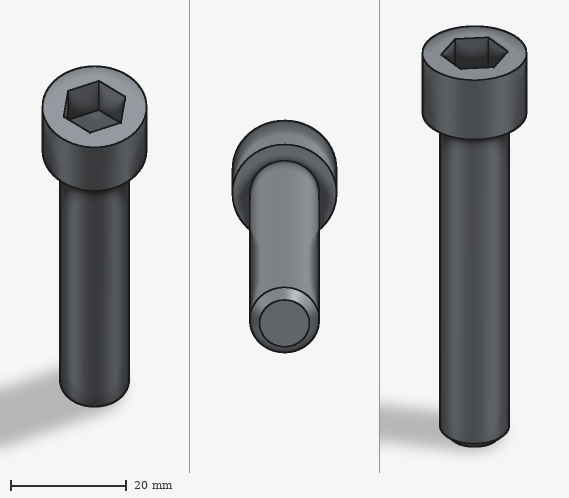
import cadquery as cq
import math

total_length = 77.0
head_diameter = 18.0
head_height = 12.0
shank_diameter = 12.0
tip_chamfer = 1.7
socket_across_flats = 10.0
socket_depth = head_height * 2 / 3

socket_across_corners = socket_across_flats / math.cos(math.radians(30))
shank_length = total_length - head_height


def make_head():
    return cq.Workplane("XY").circle(head_diameter / 2).extrude(head_height)


def make_shank():
    shank = cq.Workplane("XY").circle(shank_diameter / 2).extrude(-shank_length)
    return shank.faces("<Z").chamfer(tip_chamfer)


def make_socket():
    """Hexagonal recess with two corners on the X axis."""
    return (
        cq.Workplane("XY")
        .workplane(offset=head_height)
        .polygon(6, socket_across_corners)
        .extrude(-socket_depth)
    )


result = make_head().union(make_shank()).cut(make_socket())